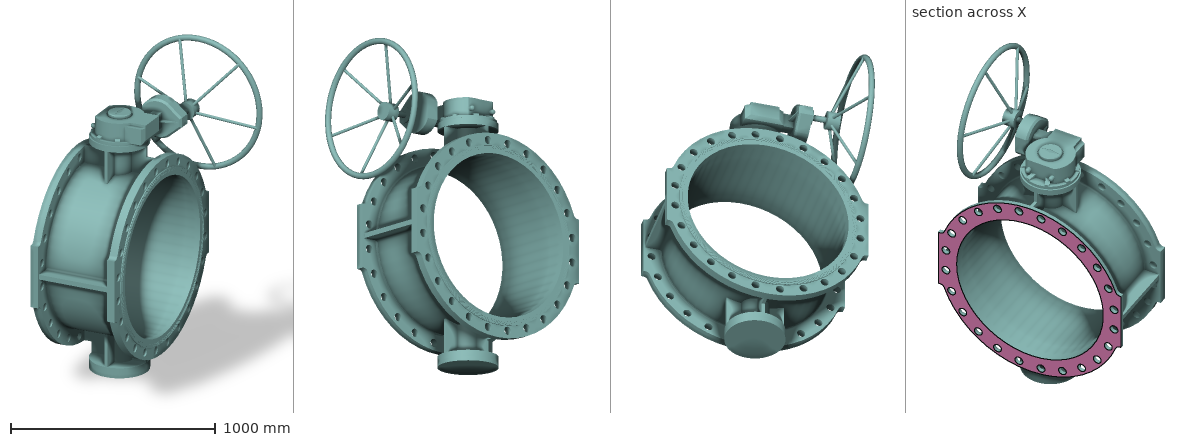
import cadquery as cq
import math

BORE_DIA = 819.0
PIPE_DIA = 848.0
FLANGE_DIA = 1025.0
RAISED_FACE_DIA = 901.0
RAISED_FACE_HEIGHT = 5.0
FACE_TO_FACE = 470.0
FLANGE_THICKNESS = 42.0
TAB_HALF_HEIGHT = 162.0
TAB_FILLET = 25.0
ROOT_FILLET = 8.0
BOLT_CIRCLE_DIA = 950.0
BOLT_HOLE_DIA = 41.0
BOLT_HOLE_COUNT = 24

GROOVE_COUNT = 5
GROOVE_PITCH = 4.0
GROOVE_WIDTH = 2.0
GROOVE_DEPTH = 1.0
FIRST_GROOVE_RADIUS = 431.0

SIDE_RIB_THICKNESS = 25.0
SIDE_RIB_TIP_Y = 503.0
SIDE_RIB_FILLET = 12.0

NECK_DIA = 145.0
NECK_RIB_THICKNESS = 16.0
NECK_RIB_WIDTH_X = 298.0
NECK_RIB_WIDTH_Y = 293.0
STEM_FLANGE_DIA = 300.0
STEM_FLANGE_BOTTOM = 569.0
STEM_FLANGE_THICKNESS = 32.0
BOTTOM_COVER_THICKNESS = 21.0

BASE_DIA = 285.0
BASE_THICKNESS = 16.0
GEARBOX_RADIUS = 123.0
GEARBOX_TOP = 711.0
GEARBOX_FLAT_X = -97.0
GEARBOX_END_X = 180.0
WORM_BLOCK_START_X = 78.0
WORM_BLOCK_HALF_WIDTH = 98.0
WORM_BLOCK_BOTTOM = 612.0
WORM_BLOCK_LEDGE_WIDTH = 25.0
WORM_BLOCK_LEDGE_DEPTH = 15.0
WORM_BLOCK_END_CHAMFER = 13.0
WORM_BLOCK_BOTTOM_CHAMFER = 20.0
STUD_DIA = 25.0
STUD_LENGTH = 25.0
STUD_Y = 65.0
STUD_ROUND = 10.0
LUG_COUNT = 8
LUG_WIDTH = 24.0
LUG_INNER_RADIUS = 100.0
LUG_OUTER_RADIUS = 141.0
LUG_INNER_HEIGHT = 22.0
LUG_OUTER_HEIGHT = 8.0
INDICATOR_DIA = 116.0
INDICATOR_HEIGHT = 15.0
INDICATOR_CHAMFER = 4.0
INDICATOR_RECESS_DIA = 130.0
INDICATOR_RECESS_DEPTH = 4.0
POINTER_WIDTH = 22.0
POINTER_DEPTH = 2.0

HOUSING_RADIUS = 103.0
HOUSING_CENTRE_X = 132.0
HOUSING_SHOULDER_X = 186.0
HOUSING_FLAT_X = 40.0
HOUSING_TIP_X = 260.0
HOUSING_TIP_HALF_HEIGHT = 25.0
HOUSING_BACK_Y = 152.0
HOUSING_FRONT_Y = 221.0
HOUSING_CHAMFER = 10.0
LINK_START_X = 94.0
LINK_END_X = 156.0
LINK_HALF_HEIGHT = 40.0
LINK_CHAMFER = 14.0
GUSSET_THICKNESS = 6.0
GUSSET_END_X = 245.0
GUSSET_LOW_Y = 123.0

WHEEL_DIA = 700.0
WHEEL_TUBE_DIA = 30.0
WHEEL_X = 210.55
WHEEL_Y = 438.0
WHEEL_Z = 655.27
COLLAR_DIA = 78.0
COLLAR_THICKNESS = 8.0
SHAFT_DIA = 30.0
HUB_DIA = 90.0
HUB_START_Y = 301.0
HUB_END_Y = 364.0
SPOKE_DIA = 15.0
SPOKE_COUNT = 6
SPOKE_FIRST_ANGLE = -13.0
SPOKE_INNER_RADIUS = 30.0
SPOKE_INNER_Y = 323.0
SPOKE_OUTER_Y = 430.0

HALF_LENGTH = FACE_TO_FACE / 2
FLANGE_OUTER_X = HALF_LENGTH - RAISED_FACE_HEIGHT
FLANGE_INNER_X = FLANGE_OUTER_X - FLANGE_THICKNESS
STEM_FLANGE_TOP = STEM_FLANGE_BOTTOM + STEM_FLANGE_THICKNESS
BASE_TOP = STEM_FLANGE_TOP + BASE_THICKNESS
WHEEL_RADIUS = (WHEEL_DIA - WHEEL_TUBE_DIA) / 2


def box(x0, x1, y0, y1, z0, z1):
    """Box between two opposite corners."""
    return cq.Workplane("XY").box(x1 - x0, y1 - y0, z1 - z0, centered=False).translate((x0, y0, z0))


def cylinder_x(diameter, x0, x1):
    """Cylinder about the X axis."""
    return cq.Workplane("YZ").workplane(offset=x0).circle(diameter / 2).extrude(x1 - x0)


def cylinder_z(diameter, z0, z1):
    """Cylinder about the Z axis."""
    return cq.Workplane("XY").workplane(offset=z0).circle(diameter / 2).extrude(z1 - z0)


def wheel_cylinder(diameter, y0, y1):
    """Cylinder about the handwheel axis."""
    plane = cq.Plane(origin=(WHEEL_X, y0, WHEEL_Z), xDir=(1, 0, 0), normal=(0, 1, 0))
    return cq.Workplane(plane).circle(diameter / 2).extrude(y1 - y0)


def flange():
    """Round flange at +X with a square-ended tab at each side and a grooved raised face."""
    tab_half_width = FLANGE_DIA / 2
    body = cylinder_x(FLANGE_DIA, FLANGE_INNER_X, FLANGE_OUTER_X)
    tabs = box(FLANGE_INNER_X, FLANGE_OUTER_X, -tab_half_width, tab_half_width,
               -TAB_HALF_HEIGHT, TAB_HALF_HEIGHT)
    body = body.union(tabs)
    corner_y = math.sqrt((FLANGE_DIA / 2) ** 2 - TAB_HALF_HEIGHT ** 2)
    middle_x = (FLANGE_INNER_X + FLANGE_OUTER_X) / 2
    for side_y in (-1, 1):
        for side_z in (-1, 1):
            corner = (middle_x, side_y * corner_y, side_z * TAB_HALF_HEIGHT)
            body = body.edges(cq.NearestToPointSelector(corner)).fillet(TAB_FILLET)

    raised_face = cylinder_x(RAISED_FACE_DIA, FLANGE_INNER_X, HALF_LENGTH)
    for index in range(GROOVE_COUNT):
        inner_radius = FIRST_GROOVE_RADIUS + index * GROOVE_PITCH
        groove = (
            cq.Workplane("YZ").workplane(offset=HALF_LENGTH - GROOVE_DEPTH)
            .circle(inner_radius + GROOVE_WIDTH).circle(inner_radius).extrude(GROOVE_DEPTH)
        )
        raised_face = raised_face.cut(groove)
    return body.union(raised_face)


def root_fillet_ring():
    """Concave fillet ring where the pipe meets the +X flange."""
    pipe_radius = PIPE_DIA / 2
    ring_start_x = FLANGE_INNER_X - ROOT_FILLET
    diagonal = ROOT_FILLET * (1 - math.sqrt(0.5))
    return (
        cq.Workplane("XY")
        .moveTo(ring_start_x, pipe_radius)
        .threePointArc((FLANGE_INNER_X - diagonal, pipe_radius + diagonal),
                       (FLANGE_INNER_X, pipe_radius + ROOT_FILLET))
        .lineTo(FLANGE_INNER_X, BORE_DIA / 2)
        .lineTo(ring_start_x, BORE_DIA / 2)
        .close()
        .revolve(360, (0, 0, 0), (1, 0, 0))
    )


def pipe_with_side_ribs():
    """Pipe between the flanges with a filleted rib at each side."""
    pipe = cylinder_x(PIPE_DIA, -FLANGE_INNER_X, FLANGE_INNER_X)
    half_rib = SIDE_RIB_THICKNESS / 2
    ribs = box(-FLANGE_INNER_X, FLANGE_INNER_X, -SIDE_RIB_TIP_Y, SIDE_RIB_TIP_Y, -half_rib, half_rib)
    pipe = pipe.union(ribs)
    root_y = math.sqrt((PIPE_DIA / 2) ** 2 - half_rib ** 2)
    for side_y in (-1, 1):
        for side_z in (-1, 1):
            root = (0, side_y * root_y, side_z * half_rib)
            pipe = pipe.edges(cq.NearestToPointSelector(root)).fillet(SIDE_RIB_FILLET)
    return pipe


def stem_neck():
    """Upper neck with crossed ribs and its round flange."""
    half_rib = NECK_RIB_THICKNESS / 2
    half_x = NECK_RIB_WIDTH_X / 2
    half_y = NECK_RIB_WIDTH_Y / 2
    neck = cylinder_z(NECK_DIA, 0, STEM_FLANGE_BOTTOM)
    neck = neck.union(box(-half_x, half_x, -half_rib, half_rib, 0, STEM_FLANGE_BOTTOM))
    neck = neck.union(box(-half_rib, half_rib, -half_y, half_y, 0, STEM_FLANGE_BOTTOM))
    web = box(-FLANGE_INNER_X, FLANGE_INNER_X, -half_rib, half_rib, 0, FLANGE_DIA / 2)
    return neck.union(web).union(cylinder_z(STEM_FLANGE_DIA, STEM_FLANGE_BOTTOM, STEM_FLANGE_TOP))


def valve_body():
    """Pipe, flanges and both necks, with the bore and bolt holes cut through."""
    body = pipe_with_side_ribs()
    for end in (flange(), root_fillet_ring()):
        body = body.union(end).union(end.mirror("YZ"))
    neck = stem_neck()
    body = body.union(neck).union(neck.mirror("XY"))
    cover_bottom = -STEM_FLANGE_TOP - BOTTOM_COVER_THICKNESS
    body = body.union(cylinder_z(STEM_FLANGE_DIA, cover_bottom, -STEM_FLANGE_TOP))
    body = body.cut(cylinder_x(BORE_DIA, -HALF_LENGTH, HALF_LENGTH))

    first_angle = 180 / BOLT_HOLE_COUNT
    for start_x in (-FLANGE_OUTER_X, FLANGE_INNER_X):
        holes = (
            cq.Workplane("YZ").workplane(offset=start_x)
            .polarArray(BOLT_CIRCLE_DIA / 2, first_angle, 360, BOLT_HOLE_COUNT)
            .circle(BOLT_HOLE_DIA / 2).extrude(FLANGE_THICKNESS)
        )
        body = body.cut(holes)
    return body


def worm_block():
    """Block at the +X end of the gearbox with a ledge along each side and a chamfered end."""
    half = WORM_BLOCK_HALF_WIDTH
    upper_half = half - WORM_BLOCK_LEDGE_WIDTH
    ledge_z = GEARBOX_TOP - WORM_BLOCK_LEDGE_DEPTH
    chamfer_start_x = GEARBOX_END_X - WORM_BLOCK_END_CHAMFER
    lower = (
        cq.Workplane("XY").workplane(offset=WORM_BLOCK_BOTTOM)
        .polyline([(WORM_BLOCK_START_X, -half), (chamfer_start_x, -half), (GEARBOX_END_X, -upper_half),
                   (GEARBOX_END_X, upper_half), (chamfer_start_x, half), (WORM_BLOCK_START_X, half)])
        .close().extrude(ledge_z - WORM_BLOCK_BOTTOM)
    )
    corner = (
        cq.Workplane("XZ").workplane(offset=-half)
        .polyline([(chamfer_start_x, WORM_BLOCK_BOTTOM), (GEARBOX_END_X, WORM_BLOCK_BOTTOM),
                   (GEARBOX_END_X, WORM_BLOCK_BOTTOM + WORM_BLOCK_BOTTOM_CHAMFER)])
        .close().extrude(2 * half)
    )
    upper = box(0, GEARBOX_END_X, -upper_half, upper_half, ledge_z, GEARBOX_TOP)
    return lower.cut(corner).union(upper)


def position_indicator():
    """Chamfered disc with a diamond-shaped pointer sunk into its top."""
    top = GEARBOX_TOP + INDICATOR_HEIGHT
    disc = cylinder_z(INDICATOR_DIA, GEARBOX_TOP - INDICATOR_RECESS_DEPTH, top)
    disc = disc.faces(">Z").edges().chamfer(INDICATOR_CHAMFER)
    half_length = INDICATOR_DIA / 2 - INDICATOR_CHAMFER
    half_width = POINTER_WIDTH / 2
    pointer = (
        cq.Workplane("XY").workplane(offset=top - POINTER_DEPTH)
        .polyline([(0, -half_length), (half_width, 0), (0, half_length), (-half_width, 0)])
        .close().extrude(POINTER_DEPTH)
    )
    return disc.cut(pointer)


def base_lug():
    """Radial lug on the gearbox base, along +X, with its top sloping down outwards."""
    return (
        cq.Workplane("XZ").workplane(offset=-LUG_WIDTH / 2)
        .polyline([(LUG_INNER_RADIUS, STEM_FLANGE_TOP), (LUG_OUTER_RADIUS, STEM_FLANGE_TOP),
                   (LUG_OUTER_RADIUS, BASE_TOP + LUG_OUTER_HEIGHT),
                   (LUG_INNER_RADIUS, BASE_TOP + LUG_INNER_HEIGHT)])
        .close().extrude(LUG_WIDTH)
    )


def gearbox():
    """Worm gearbox on the upper stem flange."""
    casing = cylinder_z(2 * GEARBOX_RADIUS, BASE_TOP, GEARBOX_TOP)
    casing = casing.intersect(
        box(GEARBOX_FLAT_X, GEARBOX_RADIUS, -GEARBOX_RADIUS, GEARBOX_RADIUS, BASE_TOP, GEARBOX_TOP)
    )
    casing = casing.union(worm_block())
    casing = casing.union(cylinder_z(BASE_DIA, STEM_FLANGE_TOP, BASE_TOP))
    recess = cylinder_z(INDICATOR_RECESS_DIA, GEARBOX_TOP - INDICATOR_RECESS_DEPTH, GEARBOX_TOP)
    casing = casing.cut(recess).union(position_indicator())
    lug = base_lug()
    for index in range(LUG_COUNT):
        angle = (index + 0.5) * 360 / LUG_COUNT
        casing = casing.union(lug.rotate((0, 0, 0), (0, 0, 1), angle))
    stud = cylinder_x(STUD_DIA, GEARBOX_FLAT_X - STUD_LENGTH, GEARBOX_FLAT_X)
    stud = stud.faces("<X").edges().fillet(STUD_ROUND)
    for stud_y in (-STUD_Y, STUD_Y):
        casing = casing.union(stud.translate((0, stud_y, WHEEL_Z)))
    return casing


def spur_housing():
    """Rounded housing with a pointed end, plus the link and gusset joining it to the gearbox."""
    flat_half = math.sqrt(HOUSING_RADIUS ** 2 - (HOUSING_CENTRE_X - HOUSING_FLAT_X) ** 2)
    shoulder_half = math.sqrt(HOUSING_RADIUS ** 2 - (HOUSING_SHOULDER_X - HOUSING_CENTRE_X) ** 2)
    front_plane = cq.Plane(origin=(0, HOUSING_FRONT_Y, WHEEL_Z), xDir=(1, 0, 0), normal=(0, -1, 0))
    outline = (
        cq.Workplane(front_plane)
        .moveTo(HOUSING_FLAT_X, -flat_half)
        .lineTo(HOUSING_FLAT_X, flat_half)
        .threePointArc((HOUSING_CENTRE_X, HOUSING_RADIUS), (HOUSING_SHOULDER_X, shoulder_half))
        .lineTo(HOUSING_TIP_X, HOUSING_TIP_HALF_HEIGHT)
        .lineTo(HOUSING_TIP_X, -HOUSING_TIP_HALF_HEIGHT)
        .lineTo(HOUSING_SHOULDER_X, -shoulder_half)
        .threePointArc((HOUSING_CENTRE_X, -HOUSING_RADIUS), (HOUSING_FLAT_X, -flat_half))
        .close().val()
    )
    straight_depth = HOUSING_FRONT_Y - HOUSING_BACK_Y - HOUSING_CHAMFER
    housing = cq.Workplane(front_plane).add(outline).toPending().extrude(straight_depth)
    back_plane = cq.Workplane(front_plane).workplane(offset=straight_depth)
    chamfered_back = (
        back_plane.add(outline.translate(cq.Vector(0, -straight_depth, 0))).toPending()
        .extrude(HOUSING_CHAMFER, taper=45)
    )
    housing = housing.union(chamfered_back)
    link = box(LINK_START_X, LINK_END_X, 0, HOUSING_BACK_Y,
               WHEEL_Z - LINK_HALF_HEIGHT, WHEEL_Z + LINK_HALF_HEIGHT)
    link = link.edges("|Y and <X").chamfer(LINK_CHAMFER)
    gusset = (
        cq.Workplane("XY").workplane(offset=WHEEL_Z - GUSSET_THICKNESS / 2)
        .polyline([(LINK_END_X, GUSSET_LOW_Y), (GUSSET_END_X, HOUSING_BACK_Y), (LINK_END_X, HOUSING_BACK_Y)])
        .close().extrude(GUSSET_THICKNESS)
    )
    return housing.union(link).union(gusset)


def spoke(angle):
    """Straight spoke from the hub to the rim at the given angle about the wheel axis."""
    direction_x = math.cos(math.radians(angle))
    direction_z = math.sin(math.radians(angle))

    def point(radius, y):
        return cq.Vector(WHEEL_X + radius * direction_x, y, WHEEL_Z + radius * direction_z)

    start = point(SPOKE_INNER_RADIUS, SPOKE_INNER_Y)
    axis = point(WHEEL_RADIUS, SPOKE_OUTER_Y) - start
    return cq.Workplane(cq.Solid.makeCylinder(SPOKE_DIA / 2, axis.Length, start, axis))


def handwheel():
    """Collar, shaft, hub, spokes and round rim."""
    wheel = wheel_cylinder(COLLAR_DIA, HOUSING_FRONT_Y, HOUSING_FRONT_Y + COLLAR_THICKNESS)
    wheel = wheel.union(wheel_cylinder(SHAFT_DIA, HOUSING_FRONT_Y, HUB_END_Y))
    wheel = wheel.union(wheel_cylinder(HUB_DIA, HUB_START_Y, HUB_END_Y))
    rim = cq.Solid.makeTorus(WHEEL_RADIUS, WHEEL_TUBE_DIA / 2,
                             cq.Vector(WHEEL_X, WHEEL_Y, WHEEL_Z), cq.Vector(0, 1, 0))
    for index in range(SPOKE_COUNT):
        wheel = wheel.union(spoke(SPOKE_FIRST_ANGLE + index * 360 / SPOKE_COUNT))
    return wheel.union(cq.Workplane(rim))


result = valve_body().union(gearbox()).union(spur_housing()).union(handwheel())